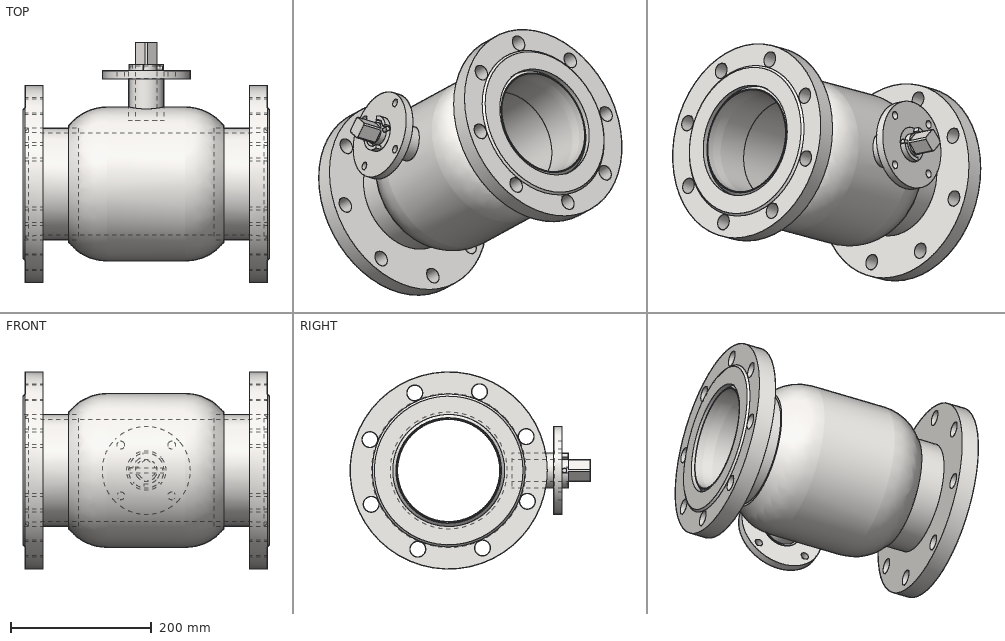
import cadquery as cq
import math


valve_length = 350.0
pipe_radius = 159.0 / 2
bore_radius = 145.0 / 2
mouth_radius = 147.0 / 2
mouth_end = 160.0
taper_end = 145.0
pipe_end_recess = 3.0
pipe_bevel_depth = 4.5
pipe_bevel_length = 5.0
pipe_outer_end = valve_length / 2 - pipe_end_recess
pipe_inner_end = 96.0

flange_radius = 280.0 / 2
flange_thickness = 25.5
raised_face_height = 3.0
raised_face_radius = 217.0 / 2
raised_face_chamfer = 3.0
chamfer_height = raised_face_height * 0.999
bolt_circle_radius = 240.0 / 2
bolt_hole_diameter = 22.0
bolt_count = 8
bolt_pattern_turn = 1.1
flange_front = valve_length / 2 - raised_face_height
flange_back = flange_front - flange_thickness

shell_radius = 219.0 / 2
shell_half_length = 110.0
barrel_half_length = 55.0
shell_end_radius = 83.0

stem_top = 201.0
collar_top = 170.0
plate_top = 161.0
plate_thickness = 12.0
plate_bottom = plate_top - plate_thickness
stem_base = 90.0

neck_radius = 50.0 / 2
collar_bore_radius = 39.0 / 2
plate_radius = 125.0 / 2
plate_recess_radius = 28.0
plate_recess_depth = 1.0
plate_hole_circle_radius = 102.0 / 2
plate_hole_diameter = 11.0
plate_hole_count = 4
plate_first_hole = 45.0

spindle_radius = 31.0 / 2
square_size = 24.0
square_turn = 45.0
pin_radius = 6.5 / 2
pin_length = 46.5
pin_height = plate_top + pin_radius
stop_face_angle = 10.7


def bar_along_x(radius, start, end):
    """Round bar on the pipe axis between two X positions."""
    return cq.Workplane("YZ").workplane(offset=start).circle(radius).extrude(end - start)


def bar_along_y(radius, start, end):
    """Round bar on the stem axis between two Y positions."""
    return cq.Workplane("XZ").workplane(offset=-start).circle(radius).extrude(start - end)


def mirrored_to(side, body):
    """Return the +X body itself, or its reflection on the -X side."""
    return body if side > 0 else body.mirror("YZ")


def make_pipe(side):
    """Pipe with a bevelled outer end and a wide mouth that tapers to the bore."""
    pipe = (
        cq.Workplane("XY")
        .moveTo(pipe_inner_end, bore_radius)
        .lineTo(taper_end, bore_radius)
        .lineTo(mouth_end, mouth_radius)
        .lineTo(pipe_outer_end, mouth_radius)
        .lineTo(pipe_outer_end, pipe_radius - pipe_bevel_depth)
        .lineTo(pipe_outer_end - pipe_bevel_length, pipe_radius)
        .lineTo(pipe_inner_end, pipe_radius)
        .close()
        .revolve(360, (0, 0, 0), (1, 0, 0))
    )
    return mirrored_to(side, pipe)


def make_flange(side):
    """Bolted flange with a chamfered raised face, bored to fit the pipe."""
    disc = bar_along_x(flange_radius, flange_back, flange_front)
    raised_face = (
        bar_along_x(raised_face_radius, flange_front, valve_length / 2)
        .faces(">X").edges().chamfer(chamfer_height, raised_face_chamfer)
    )
    flange = disc.union(raised_face).cut(bar_along_x(pipe_radius, flange_back, valve_length / 2))
    first_hole = 180.0 / bolt_count + bolt_pattern_turn
    bolt_holes = (
        cq.Workplane("YZ").workplane(offset=flange_back)
        .polarArray(bolt_circle_radius, first_hole, 360, bolt_count)
        .circle(bolt_hole_diameter / 2).extrude(flange_thickness + raised_face_height)
    )
    return mirrored_to(side, flange.cut(bolt_holes))


def make_shell():
    """Barrel with domed ends, bored through, with sockets for the pipes and the neck."""
    dome_length = shell_half_length - barrel_half_length
    dome_drop = shell_radius - shell_end_radius
    dome_radius = (dome_length**2 + dome_drop**2) / (2 * dome_drop)
    half_sweep = math.asin(dome_length / dome_radius) / 2
    mid_x = barrel_half_length + dome_radius * math.sin(half_sweep)
    mid_r = shell_radius - dome_radius * (1 - math.cos(half_sweep))
    shell = (
        cq.Workplane("XY")
        .moveTo(-shell_half_length, 0)
        .lineTo(-shell_half_length, shell_end_radius)
        .threePointArc((-mid_x, mid_r), (-barrel_half_length, shell_radius))
        .lineTo(barrel_half_length, shell_radius)
        .threePointArc((mid_x, mid_r), (shell_half_length, shell_end_radius))
        .lineTo(shell_half_length, 0)
        .close()
        .revolve(360, (0, 0, 0), (1, 0, 0))
    )
    shell = shell.cut(bar_along_x(bore_radius, -shell_half_length, shell_half_length))
    for side in (-1, 1):
        socket = bar_along_x(pipe_radius, pipe_inner_end, shell_half_length)
        shell = shell.cut(mirrored_to(side, socket))
    return shell.cut(bar_along_y(neck_radius, stem_base, stem_top))


def make_neck():
    """Stem tube whose top is cut down to two stop sectors for the pin."""
    neck = bar_along_y(neck_radius, stem_base, collar_top)
    neck = neck.cut(bar_along_y(spindle_radius, stem_base, collar_top))
    collar_height = collar_top - plate_top
    collar = bar_along_y(neck_radius, plate_top, collar_top)
    tube = neck.cut(collar)
    ring = collar.cut(bar_along_y(collar_bore_radius, plate_top, collar_top))
    reach = 2 * neck_radius
    lower_stop = (
        cq.Workplane("XY").box(reach, collar_height, reach, centered=False)
        .translate((-pin_radius, plate_top, -pin_radius - reach))
    )
    near = reach * math.sin(math.radians(stop_face_angle))
    far = reach * math.cos(math.radians(stop_face_angle))
    upper_stop = (
        cq.Workplane("XZ").workplane(offset=-plate_top)
        .moveTo(0, 0)
        .lineTo(-near, far)
        .lineTo(-reach, reach)
        .lineTo(-far, near)
        .close().extrude(-collar_height)
    )
    return tube.union(ring.intersect(lower_stop.union(upper_stop)))


def make_plate():
    """Round mounting plate around the neck, with a shallow recess underneath."""
    plate = bar_along_y(plate_radius, plate_bottom, plate_top)
    plate = plate.cut(bar_along_y(neck_radius, plate_bottom, plate_top))
    plate = plate.cut(bar_along_y(plate_recess_radius, plate_bottom, plate_bottom + plate_recess_depth))
    holes = (
        cq.Workplane("XZ").workplane(offset=-plate_bottom)
        .polarArray(plate_hole_circle_radius, plate_first_hole, 360, plate_hole_count)
        .circle(plate_hole_diameter / 2).extrude(-plate_thickness)
    )
    return plate.cut(holes)


def make_pin():
    """Stop pin that crosses the spindle along X, resting on the plate."""
    return (
        cq.Workplane("YZ").workplane(offset=-pin_length / 2)
        .center(pin_height, 0).circle(pin_radius).extrude(pin_length)
    )


def make_spindle():
    """Round spindle with a square drive end and a cross hole for the pin."""
    spindle = bar_along_y(spindle_radius, stem_base, stem_top)
    square = (
        cq.Workplane("XZ").workplane(offset=-collar_top)
        .transformed(rotate=(0, 0, square_turn))
        .rect(square_size, square_size).extrude(collar_top - stem_top)
    )
    drive_waste = bar_along_y(spindle_radius, collar_top, stem_top).cut(square)
    return spindle.cut(drive_waste).cut(make_pin())


pipes = [make_pipe(side) for side in (-1, 1)]
flanges = [make_flange(side) for side in (-1, 1)]
shell = make_shell()
neck = make_neck()
plate = make_plate()
spindle = make_spindle()
pin = make_pin()

bodies = [*pipes, *flanges, shell, neck, plate, spindle, pin]
result = cq.Compound.makeCompound([body.val() for body in bodies])